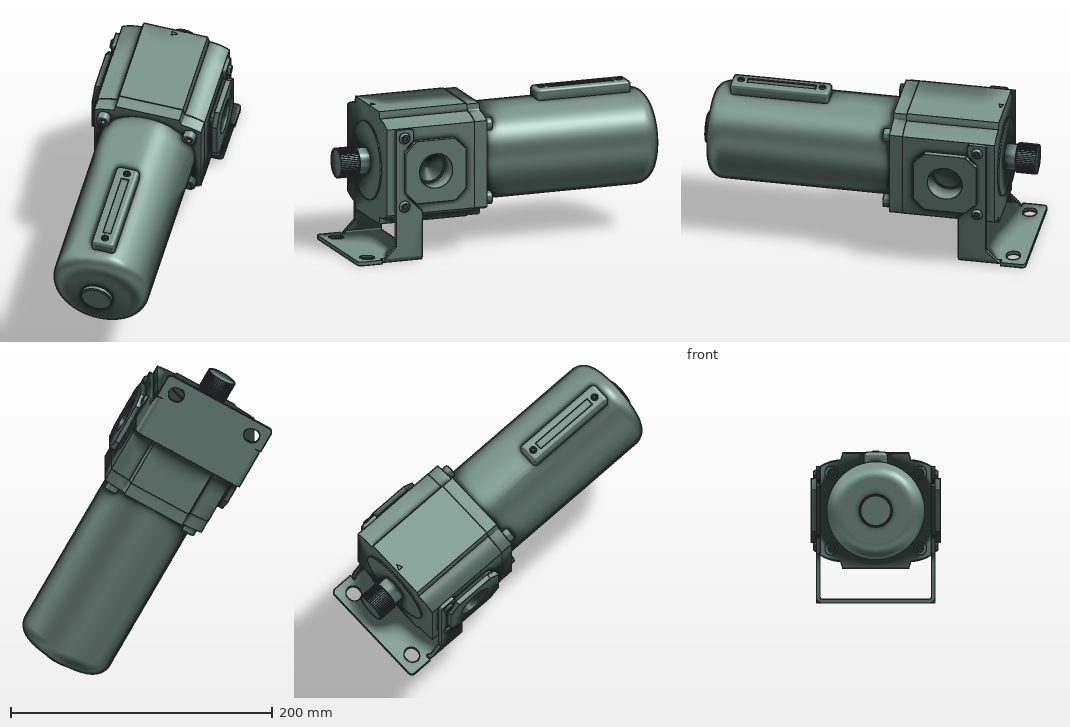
import cadquery as cq
import math


head_back_y = 37.5
head_front_y = -34.3
flange_front_y = -44.5
bowl_shoulder_y = -178.0
bowl_end_y = -190.0
drain_end_y = -194.5
cap_back_y = 38.5
knob_front_y = 47.3
knob_back_y = 63.0

body_half_width = 42.5
side_half_height = 34.0
ridge_half_height = 44.4
ridge_half_width = 25.2
ridge_root_half_width = 26.8
ridge_root_height = 39.0
arc_mid_x = 36.0
arc_mid_z = 37.2
flange_inset = 0.6
flange_side_inset = 0.2
flange_root_fillet = 2.0

bowl_radius = 37.5
drain_base_radius = 12.7
drain_base_length = 1.0
drain_radius = 12.2
drain_edge = 0.8

port_face_x = 49.5
port_plate_thickness = 4.0
port_plate_size = 49.0
port_plate_chamfer = 8.5
port_neck_size = 42.0
port_neck_chamfer = 2.3
port_mouth_radius = 13.6
port_taper = 1 / 16
port_depth = 15.0
port_drill_radius = 11.6
drill_tip_angle = 118.0

bolt_x = 34.0
bolt_z = 29.0
bolt_head_radius = 5.0
bolt_head_height = 6.0
bolt_head_fillet = 0.6
bolt_socket_width = 5.0
bolt_socket_depth = 3.0

cap_radius = 30.5
knob_neck_radius = 10.0
knob_crest_radius = 11.5
knob_root_radius = 10.9
knob_collar_length = 0.8
knob_teeth = 24

gauge_width = 18.0
gauge_start_y = -98.7
gauge_end_y = -175.4
gauge_top_z = 45.05
gauge_corner_rounding = 3.0
gauge_top_rounding = 2.98
window_width = 6.0
window_start_y = -110.0
window_end_y = -163.3
window_depth = 1.0
gauge_screw_ys = (-105.0, -168.3)
gauge_screw_radius = 2.7
gauge_screw_height = 0.77
gauge_socket_width = 2.0
gauge_socket_depth = 0.6

arrow_length = 4.5
arrow_width = 3.6
arrow_y = 34.0
arrow_depth = 0.3

plate_thickness = 3.0
bracket_half_width = body_half_width + plate_thickness
bracket_bottom_z = -70.65
bracket_top_z = 33.8
arm_back_y = 31.1
arm_front_y = 9.7
hook_front_y = 17.0
notch_y = 21.8
notch_diagonal = 41.5
hook_corner_fillet = 2.0
arm_flare_z = -58.4
base_back_y = 61.8
bend_back_y = 42.5
bend_outer_radius = 4.5
base_corner_fillet = 3.3
slot_x = 33.1
slot_y = 50.3
slot_length = 12.5
slot_width = 11.0

bracket_screw_y = 24.3
bracket_screw_z = 27.0
screw_head_radius = 4.4
screw_head_height = 2.2
screw_head_top_radius = 2.9
screw_shank_radius = 2.5
screw_shank_length = 10.0
screw_socket_width = 3.0
screw_socket_depth = 1.4


def hexagon_across_flats(width):
    """Circumscribed diameter of a hexagon with the given width across flats."""
    return width / math.cos(math.radians(30))


def workplane_at_y(y, direction=1):
    """Workplane at a Y position whose normal points to +Y (direction = 1) or -Y (-1)."""
    x_direction = (-direction, 0, 0)
    return cq.Workplane(cq.Plane((0, y, 0), x_direction, (0, direction, 0)))


def housing_block(start_y, end_y, inset=0, side_inset=0):
    """Block with a raised ridge on top and bottom and rounded shoulders beside them."""
    ridge_z = ridge_half_height - inset
    root_z = ridge_root_height - inset
    mid_z = arc_mid_z - inset
    side_x = body_half_width - side_inset
    outline = (
        workplane_at_y(start_y, -1)
        .moveTo(-ridge_half_width, ridge_z)
        .lineTo(ridge_half_width, ridge_z)
        .lineTo(ridge_root_half_width, root_z)
        .threePointArc((arc_mid_x, mid_z), (side_x, side_half_height))
        .lineTo(side_x, -side_half_height)
        .threePointArc((arc_mid_x, -mid_z), (ridge_root_half_width, -root_z))
        .lineTo(ridge_half_width, -ridge_z)
        .lineTo(-ridge_half_width, -ridge_z)
        .lineTo(-ridge_root_half_width, -root_z)
        .threePointArc((-arc_mid_x, -mid_z), (-side_x, -side_half_height))
        .lineTo(-side_x, side_half_height)
        .threePointArc((-arc_mid_x, mid_z), (-ridge_root_half_width, root_z))
        .close()
    )
    return outline.extrude(start_y - end_y)


def flange():
    """Front flange of the housing; the roots of its ridges are rounded."""
    root_z = ridge_root_height - flange_inset
    middle_y = (head_front_y + flange_front_y) / 2
    block = housing_block(head_front_y, flange_front_y, flange_inset, flange_side_inset)
    for side_x in (-1, 1):
        for side_z in (-1, 1):
            root = (side_x * ridge_root_half_width, middle_y, side_z * root_z)
            block = block.edges(cq.NearestToPointSelector(root)).fillet(flange_root_fillet)
    return block


def bowl():
    """Cylindrical bowl with a rounded end."""
    end_radius = bowl_shoulder_y - bowl_end_y
    length = flange_front_y - bowl_end_y
    cylinder = workplane_at_y(flange_front_y, -1).circle(bowl_radius).extrude(length)
    return cylinder.faces("<Y").edges().fillet(end_radius)


def drain():
    """Drain plug on the end of the bowl: a thin base disc and a round plug."""
    base = workplane_at_y(bowl_end_y, -1).circle(drain_base_radius).extrude(drain_base_length)
    plug = workplane_at_y(bowl_end_y, -1).circle(drain_radius).extrude(bowl_end_y - drain_end_y)
    return base.union(plug.faces("<Y").edges().chamfer(drain_edge))


def level_gauge():
    """Rounded bar on top of the bowl with a sunken window and two screw heads."""
    length = gauge_start_y - gauge_end_y
    middle_y = (gauge_start_y + gauge_end_y) / 2
    bar = (
        cq.Workplane("XY")
        .center(0, middle_y)
        .rect(gauge_width, length)
        .extrude(gauge_top_z)
        .edges("|Z").fillet(gauge_corner_rounding)
        .faces(">Z").edges().fillet(gauge_top_rounding)
    )
    window = (
        cq.Workplane("XY", origin=(0, (window_start_y + window_end_y) / 2, gauge_top_z))
        .rect(window_width, window_start_y - window_end_y)
        .extrude(-window_depth)
    )
    bar = bar.cut(window)
    for screw_y in gauge_screw_ys:
        bar = bar.union(domed_head(
            cq.Plane((0, screw_y, gauge_top_z)),
            gauge_screw_radius, gauge_socket_width, gauge_screw_height,
            gauge_socket_width, gauge_socket_depth,
        ))
    return bar


def domed_head(plane, radius, top_radius, height, socket_width, socket_depth):
    """Domed screw head standing on a plane, with a hexagon socket in its flat top."""
    centre = (radius**2 - top_radius**2 - height**2) / (2 * height)
    sphere_radius = math.hypot(radius, centre)
    middle_angle = (math.atan2(centre, radius) + math.atan2(centre + height, top_radius)) / 2
    middle = (
        sphere_radius * math.cos(middle_angle),
        sphere_radius * math.sin(middle_angle) - centre,
    )
    profile_plane = cq.Plane(plane.origin, plane.xDir, -plane.yDir)
    dome = (
        cq.Workplane(profile_plane)
        .lineTo(radius, 0)
        .threePointArc(middle, (top_radius, height))
        .lineTo(0, height)
        .close()
        .revolve(360, (0, 0), (0, 1))
    )
    socket = (
        cq.Workplane(plane)
        .workplane(offset=height)
        .polygon(6, hexagon_across_flats(socket_width))
        .extrude(-socket_depth)
    )
    return dome.cut(socket)


def flange_bolt_heads():
    """Four round bolt heads with hexagon sockets on the front of the flange."""
    centres = [(x, z) for x in (-bolt_x, bolt_x) for z in (-bolt_z, bolt_z)]
    heads = (
        workplane_at_y(flange_front_y, -1)
        .pushPoints(centres)
        .circle(bolt_head_radius)
        .extrude(bolt_head_height)
    )
    heads = heads.faces("<Y").edges().fillet(bolt_head_fillet)
    sockets = (
        workplane_at_y(flange_front_y - bolt_head_height, -1)
        .pushPoints(centres)
        .polygon(6, hexagon_across_flats(bolt_socket_width))
        .extrude(-bolt_socket_depth)
    )
    return heads.cut(sockets)


def octagon(plane, size, chamfer, thickness):
    """Square plate with its four corners cut off."""
    return cq.Workplane(plane).rect(size, size).extrude(thickness).edges("|X").chamfer(chamfer)


def port_plane(side, x):
    """Plane facing outward on the -X (side = -1) or +X (side = 1) port."""
    return cq.Plane((side * x, 0, 0), (0, 1, 0), (side, 0, 0))


def port_boss(side):
    """Octagonal port plate standing on a smaller neck."""
    plate_back_x = port_face_x - port_plate_thickness
    neck = octagon(port_plane(side, body_half_width), port_neck_size, port_neck_chamfer,
                   plate_back_x - body_half_width)
    plate = octagon(port_plane(side, plate_back_x), port_plate_size, port_plate_chamfer,
                    port_plate_thickness)
    return neck.union(plate)


def port_hole(side):
    """Tapered blind hole with a ledge and a conical bottom, as a solid to cut away."""
    ledge_radius = port_mouth_radius - port_depth * port_taper / 2
    tip_depth = port_depth + port_drill_radius / math.tan(math.radians(drill_tip_angle / 2))
    ledge_x = side * (port_face_x - port_depth)
    return (
        cq.Workplane("XY")
        .moveTo(side * port_face_x, 0)
        .lineTo(side * port_face_x, port_mouth_radius)
        .lineTo(ledge_x, ledge_radius)
        .lineTo(ledge_x, port_drill_radius)
        .lineTo(side * (port_face_x - tip_depth), 0)
        .close()
        .revolve(360, (0, 0), (1, 0))
    )


def cap_and_knob():
    """Round cap on the back of the head, carrying a neck and a knurled knob."""
    cap = workplane_at_y(head_back_y).circle(cap_radius).extrude(cap_back_y - head_back_y)
    neck = workplane_at_y(cap_back_y).circle(knob_neck_radius).extrude(knob_front_y - cap_back_y)
    core = workplane_at_y(knob_front_y).circle(knob_root_radius).extrude(knob_back_y - knob_front_y)
    knurl_start_y = knob_front_y + knob_collar_length
    half_tooth = math.radians(360 / knob_teeth / 4)
    tooth_width = 2 * knob_crest_radius * math.sin(half_tooth)
    tooth_reach = knob_crest_radius * math.cos(half_tooth)
    teeth = (
        workplane_at_y(knurl_start_y)
        .polarArray(tooth_reach / 2, 0, 360, knob_teeth)
        .rect(tooth_reach, tooth_width)
        .extrude(knob_back_y - knurl_start_y)
    )
    return cap.union(neck).union(core).union(teeth)


def flow_arrow():
    """Small triangle pointing to +X, as a solid to cut from the top ridge."""
    return (
        cq.Workplane("XY", origin=(0, arrow_y, ridge_half_height))
        .moveTo(-arrow_length / 2, -arrow_width / 2)
        .lineTo(arrow_length / 2, 0)
        .lineTo(-arrow_length / 2, arrow_width / 2)
        .close()
        .extrude(-arrow_depth)
    )


def bracket_screw_planes():
    """Planes of the four bracket screws on the outer faces of the bracket arms."""
    return [
        cq.Plane((side * bracket_half_width, bracket_screw_y, z), (0, 1, 0), (side, 0, 0))
        for side in (-1, 1)
        for z in (-bracket_screw_z, bracket_screw_z)
    ]


def screw_shank(plane):
    """Shank of a bracket screw, also used to cut its hole."""
    return cq.Workplane(plane).circle(screw_shank_radius).extrude(-screw_shank_length)


def make_housing():
    """Head, flange, bowl and everything fixed to them."""
    housing = housing_block(head_back_y, head_front_y)
    for piece in (flange(), bowl(), drain(), level_gauge(), flange_bolt_heads(), cap_and_knob()):
        housing = housing.union(piece, clean=False)
    for side in (-1, 1):
        housing = housing.union(port_boss(side)).cut(port_hole(side))
    housing = housing.cut(flow_arrow())
    for plane in bracket_screw_planes():
        housing = housing.cut(screw_shank(plane))
    return housing


def bracket_arm_outline():
    """Side outline of the arms: hook at the top, notch around the port neck, flared foot."""
    flare = arm_flare_z - bracket_bottom_z
    arm = (
        cq.Workplane("YZ", origin=(-bracket_half_width, 0, 0))
        .moveTo(arm_back_y, bracket_top_z)
        .lineTo(hook_front_y, bracket_top_z)
        .lineTo(hook_front_y, notch_diagonal - hook_front_y)
        .lineTo(notch_y, notch_diagonal - notch_y)
        .lineTo(notch_y, notch_y - notch_diagonal)
        .lineTo(arm_front_y, arm_front_y - notch_diagonal)
        .lineTo(arm_front_y, bracket_bottom_z)
        .lineTo(arm_back_y + flare, bracket_bottom_z)
        .lineTo(arm_back_y, arm_flare_z)
        .close()
        .extrude(2 * bracket_half_width)
    )
    corners = (
        (0, arm_back_y, bracket_top_z),
        (0, hook_front_y, bracket_top_z),
        (0, arm_front_y, arm_front_y - notch_diagonal),
    )
    for corner in corners:
        arm = arm.edges(cq.NearestToPointSelector(corner)).fillet(hook_corner_fillet)
    return arm


def make_bracket():
    """U-shaped sheet bracket with two arms and a slotted base."""
    width = 2 * bracket_half_width
    height = bracket_top_z - bracket_bottom_z
    inner_bend_radius = bend_outer_radius - plate_thickness
    channel = (
        workplane_at_y(arm_front_y)
        .center(0, bracket_bottom_z + height / 2)
        .rect(width, height)
        .extrude(base_back_y - arm_front_y)
        .edges("|Y and <Z").fillet(bend_outer_radius)
    )
    inside = (
        workplane_at_y(arm_front_y)
        .center(0, bracket_bottom_z + plate_thickness + height / 2)
        .rect(width - 2 * plate_thickness, height)
        .extrude(base_back_y - arm_front_y)
        .edges("|Y and <Z").fillet(inner_bend_radius)
    )
    arms_and_bend = channel.cut(inside).intersect(bracket_arm_outline())

    base_front = (
        cq.Workplane("XY", origin=(0, 0, bracket_bottom_z))
        .center(0, (arm_front_y + bend_back_y) / 2)
        .rect(width - 2 * bend_outer_radius, bend_back_y - arm_front_y)
        .extrude(plate_thickness)
    )
    base_back = (
        cq.Workplane("XY", origin=(0, 0, bracket_bottom_z))
        .center(0, (bend_back_y + base_back_y) / 2)
        .rect(width, base_back_y - bend_back_y)
        .extrude(plate_thickness)
        .edges("|Z and >Y").fillet(base_corner_fillet)
    )
    slots = (
        cq.Workplane("XY", origin=(0, slot_y, bracket_bottom_z))
        .pushPoints([(-slot_x, 0), (slot_x, 0)])
        .slot2D(slot_length, slot_width)
        .extrude(plate_thickness)
    )
    bracket = arms_and_bend.union(base_front).union(base_back).cut(slots)
    for plane in bracket_screw_planes():
        bracket = bracket.cut(screw_shank(plane))
    return bracket


def make_bracket_screw(plane):
    """Domed socket screw that holds a bracket arm to the head."""
    head = domed_head(plane, screw_head_radius, screw_head_top_radius, screw_head_height,
                      screw_socket_width, screw_socket_depth)
    return head.union(screw_shank(plane))


housing = make_housing()
bracket = make_bracket()
bracket_screws = [make_bracket_screw(plane) for plane in bracket_screw_planes()]

result = cq.Compound.makeCompound(
    [housing.val(), bracket.val(), *[screw.val() for screw in bracket_screws]]
)